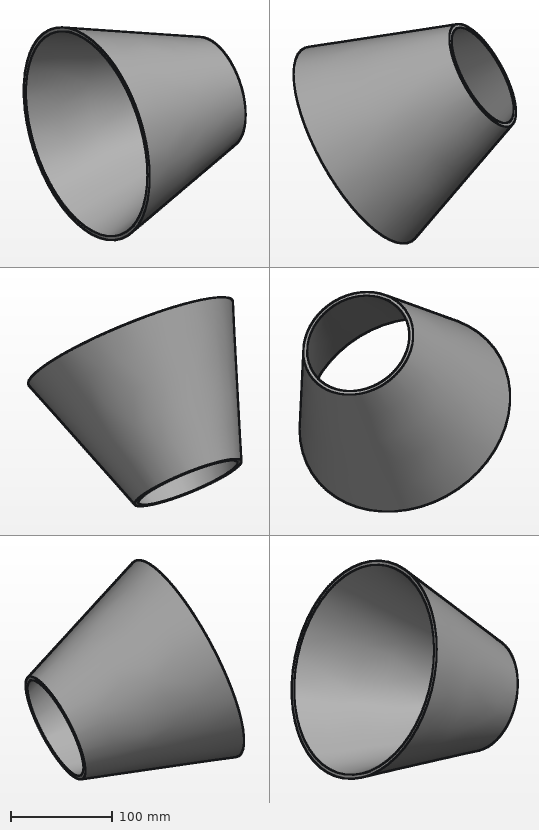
import cadquery as cq

wide_diameter = 219.0
narrow_diameter = 114.4
length = 152.0
radial_wall = 4.2

wide_radius = wide_diameter / 2
narrow_radius = narrow_diameter / 2

wall_section = [
    (wide_radius - radial_wall, 0),
    (wide_radius, 0),
    (narrow_radius, length),
    (narrow_radius - radial_wall, length),
]

result = (
    cq.Workplane("XY")
    .polyline(wall_section)
    .close()
    .revolve(360, (0, 0, 0), (0, 1, 0))
)